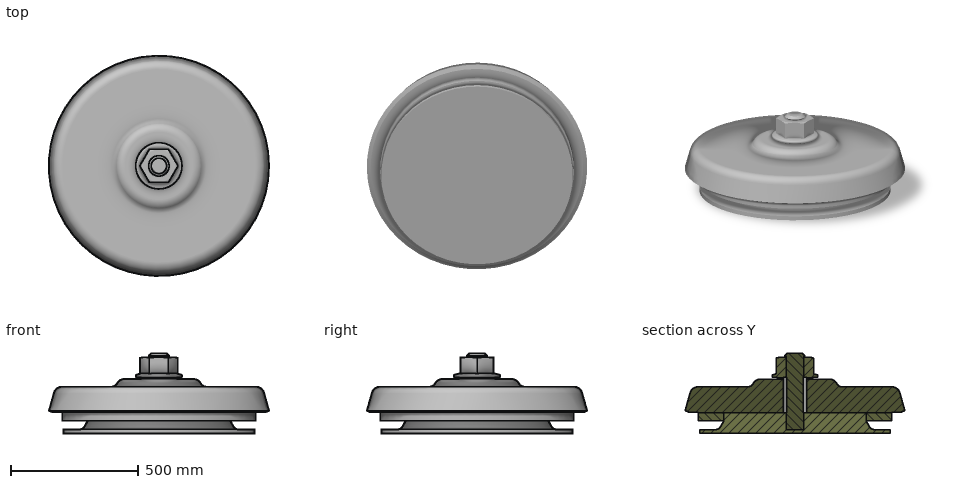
import cadquery as cq
import math

PLATE_TOP = 16.0
SEAL_BOTTOM = 49.0
LID_BOTTOM = 83.0
LID_RIM = 89.0
LID_TOP = 184.0
HUMP_TOP = 214.0
FLANGE_BOTTOM = 219.0
NUT_TOP = 299.0
STUD_TOP = 315.0

PLATE_DIAMETER = 750.0
SEAL_DIAMETER = 760.0
BOSS_DIAMETER = 560.0
CONE_ANGLE = 60.0
FOOT_FILLET = 22.0

LID_DIAMETER = 864.5
LID_FOOT_DIAMETER = 833.0
SHOULDER_DIAMETER = 811.0
HUMP_TOP_DIAMETER = 309.0
LID_FILLET = 35.5

STUD_DIAMETER = 80.0
STUD_CORE_DIAMETER = 67.0
STUD_TIP_DIAMETER = 60.5
STUD_CHAMFER = (STUD_DIAMETER - STUD_TIP_DIAMETER) / 2

WASHER_DIAMETER = 140.0
CLEARANCE_DIAMETER = 90.0

HEX_SIDES = 6
HEX_FLATS = 130.0
FLANGE_DIAMETER = 181.5
FLANGE_RIM_RADIUS = 6.5
NUT_SLOPE = 15.0
CROWN_DIAMETER = 128.0


def rise(run, angle):
    """Height gained over a horizontal run on a slope of the given angle."""
    return run * math.tan(math.radians(angle))


def run_of(height, angle):
    """Horizontal run needed to gain a height on a slope of the given angle."""
    return height / math.tan(math.radians(angle))


def turned(points):
    """Solid of revolution about Z from (radius, height) points."""
    return cq.Workplane("XZ").polyline(points).close().revolve(360, (0, 0), (0, 1))


def rod(diameter, bottom, top):
    """Plain vertical cylinder on the Z axis."""
    return cq.Workplane("XY").workplane(offset=bottom).circle(diameter / 2).extrude(top - bottom)


def fillet_circle(body, radius, height, fillet):
    """Round the circular edge of the given radius lying at the given height."""
    tolerance = 0.01

    def matches(edge):
        return (
            abs(edge.radius() - radius) < tolerance
            and abs(edge.Center().z - height) < tolerance
        )

    return body.edges("%CIRCLE").filter(matches).fillet(fillet)


def make_base_plate():
    """Plate with a filleted cone and a cylindrical boss that carries the sealing ring."""
    boss_radius = BOSS_DIAMETER / 2
    foot_radius = boss_radius + run_of(SEAL_BOTTOM - PLATE_TOP, CONE_ANGLE)
    plate = turned([
        (0, 0),
        (PLATE_DIAMETER / 2, 0),
        (PLATE_DIAMETER / 2, PLATE_TOP),
        (foot_radius, PLATE_TOP),
        (boss_radius, SEAL_BOTTOM),
        (boss_radius, LID_BOTTOM),
        (0, LID_BOTTOM),
    ])
    plate = fillet_circle(plate, foot_radius, PLATE_TOP, FOOT_FILLET)
    return plate.cut(rod(STUD_CORE_DIAMETER, PLATE_TOP, LID_BOTTOM))


def make_sealing_ring():
    """Flat ring around the boss, under the lid."""
    ring = rod(SEAL_DIAMETER, SEAL_BOTTOM, LID_BOTTOM)
    return ring.cut(rod(BOSS_DIAMETER, SEAL_BOTTOM, LID_BOTTOM))


def make_lid():
    """Tapered lid with rounded shoulder and a smooth central hump."""
    hump_radius = HUMP_TOP_DIAMETER / 2
    hump_foot_radius = hump_radius + run_of(HUMP_TOP - LID_TOP, CONE_ANGLE)
    shoulder_radius = SHOULDER_DIAMETER / 2
    lid = turned([
        (0, LID_BOTTOM),
        (LID_FOOT_DIAMETER / 2, LID_BOTTOM),
        (LID_DIAMETER / 2, LID_RIM),
        (shoulder_radius, LID_TOP),
        (hump_foot_radius, LID_TOP),
        (hump_radius, HUMP_TOP),
        (0, HUMP_TOP),
    ])
    lid = fillet_circle(lid, shoulder_radius, LID_TOP, LID_FILLET)
    lid = fillet_circle(lid, hump_foot_radius, LID_TOP, FOOT_FILLET)
    lid = fillet_circle(lid, hump_radius, HUMP_TOP, LID_FILLET)
    return lid.cut(rod(CLEARANCE_DIAMETER, LID_BOTTOM, HUMP_TOP))


def make_washer():
    """Thin washer between the hump and the nut flange."""
    washer = rod(WASHER_DIAMETER, HUMP_TOP, FLANGE_BOTTOM)
    return washer.cut(rod(CLEARANCE_DIAMETER, HUMP_TOP, FLANGE_BOTTOM))


def make_hexagon():
    """Hexagonal prism, corners along X, with its top corners turned off at a shallow slope."""
    corner_radius = HEX_FLATS / 2 / math.cos(math.pi / HEX_SIDES)
    crown_radius = CROWN_DIAMETER / 2
    hexagon = (
        cq.Workplane("XY")
        .workplane(offset=FLANGE_BOTTOM)
        .polygon(HEX_SIDES, 2 * corner_radius)
        .extrude(NUT_TOP - FLANGE_BOTTOM)
    )
    crown = turned([
        (0, FLANGE_BOTTOM),
        (corner_radius, FLANGE_BOTTOM),
        (corner_radius, NUT_TOP - rise(corner_radius - crown_radius, NUT_SLOPE)),
        (crown_radius, NUT_TOP),
        (0, NUT_TOP),
    ])
    return hexagon.intersect(crown)


def make_flange():
    """Flange with a half-round rim that runs smoothly into its sloping top."""
    rim_center_radius = FLANGE_DIAMETER / 2 - FLANGE_RIM_RADIUS
    rim_center_height = FLANGE_BOTTOM + FLANGE_RIM_RADIUS
    slope = math.radians(NUT_SLOPE)
    tangent_radius = rim_center_radius + FLANGE_RIM_RADIUS * math.sin(slope)
    tangent_height = rim_center_height + FLANGE_RIM_RADIUS * math.cos(slope)
    return (
        cq.Workplane("XZ")
        .moveTo(0, FLANGE_BOTTOM)
        .lineTo(rim_center_radius, FLANGE_BOTTOM)
        .threePointArc(
            (FLANGE_DIAMETER / 2, rim_center_height),
            (tangent_radius, tangent_height),
        )
        .lineTo(0, tangent_height + rise(tangent_radius, NUT_SLOPE))
        .close()
        .revolve(360, (0, 0), (0, 1))
    )


def make_nut():
    """Hexagon nut with an integral flange, bored for the stud core."""
    nut = make_hexagon().union(make_flange())
    return nut.cut(rod(STUD_CORE_DIAMETER, FLANGE_BOTTOM, NUT_TOP))


def make_stud():
    """Stud from the base plate up through the nut, with a double-bevelled tip."""
    core_radius = STUD_CORE_DIAMETER / 2
    tip_radius = STUD_DIAMETER / 2
    return turned([
        (0, PLATE_TOP),
        (core_radius, PLATE_TOP),
        (core_radius, NUT_TOP),
        (tip_radius, STUD_TOP - STUD_CHAMFER),
        (tip_radius - STUD_CHAMFER, STUD_TOP),
        (0, STUD_TOP),
    ])


base_plate = make_base_plate()
sealing_ring = make_sealing_ring()
lid = make_lid()
washer = make_washer()
nut = make_nut()
stud = make_stud()

result = cq.Compound.makeCompound([
    base_plate.val(),
    sealing_ring.val(),
    lid.val(),
    washer.val(),
    nut.val(),
    stud.val(),
])